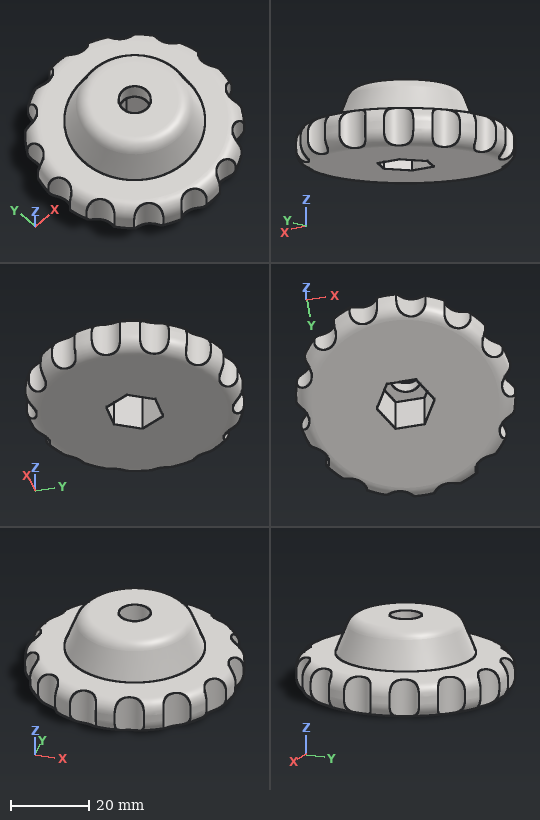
import cadquery as cq
import math

total_height = 20.0

rim_radius = 28.0
rim_height = total_height / 2
rim_fillet = 4.0

hub_height = total_height - rim_height
hub_base_radius = 17.95
hub_top_radius = 14.0
hub_fillet = 4.0

bore_diameter = 8.2
bore_length = rim_height / 2

socket_across_flats = 13.0
socket_depth = total_height - bore_length

scallop_count = 14
scallop_radius = 4.0
scallop_floor_radius = 25.0
scallop_center_radius = scallop_floor_radius + scallop_radius


def make_rim():
    """Flat disc with both outer edges rounded."""
    disc = cq.Workplane("XY").circle(rim_radius).extrude(rim_height)
    return disc.edges().fillet(rim_fillet)


def make_scallops():
    """Vertical cylinders around the rim, the first one on the +X axis."""
    return (
        cq.Workplane("XY")
        .polarArray(scallop_center_radius, 0, 360, scallop_count)
        .circle(scallop_radius)
        .extrude(rim_height)
    )


def make_hub():
    """Cone rising from the rim, with a rounded top edge."""
    taper = math.degrees(math.atan2(hub_base_radius - hub_top_radius, hub_height))
    cone = (
        cq.Workplane("XY")
        .workplane(offset=rim_height)
        .circle(hub_base_radius)
        .extrude(hub_height, taper=taper)
    )
    return cone.faces(">Z").edges().fillet(hub_fillet)


def make_bore():
    """Round hole down the axis."""
    return cq.Workplane("XY").circle(bore_diameter / 2).extrude(total_height)


def make_socket():
    """Hexagonal pocket open at the bottom, with two corners on the X axis."""
    across_corners = socket_across_flats / math.cos(math.pi / 6)
    return cq.Workplane("XY").polygon(6, across_corners).extrude(socket_depth)


result = make_rim().cut(make_scallops()).union(make_hub()).cut(make_bore()).cut(make_socket())